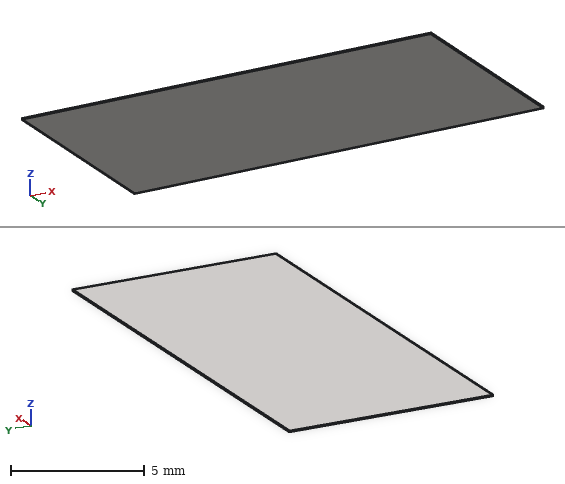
import cadquery as cq

length = 17.6
width = 8.6
thickness = 0.05

result = cq.Workplane("XY").box(length, width, thickness)